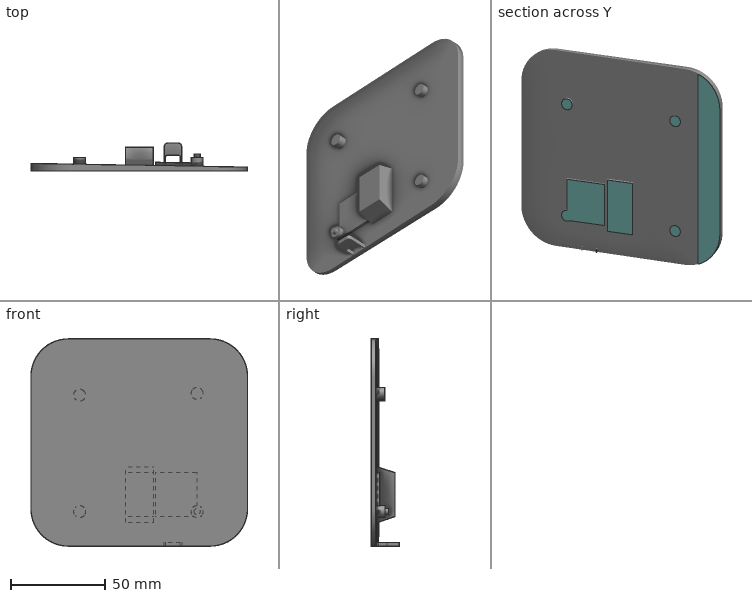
import cadquery as cq

PLATE_WIDTH = 115
PLATE_HEIGHT = 110.0
CORNER_RADIUS = 20.0
THICK_LEFT = 4.1
THICK_RIGHT = 2.2

BOSS_DIAMETER = 6.3
BOSS_TOP = 7.2
BOSS_LEFT_X = 25.9
BOSS_RIGHT_X = 88.2
BOSS_LOW_Z = 18.4
BOSS_LEFT_HIGH_Z = 80.2
BOSS_RIGHT_HIGH_Z = 81.1
BOSS_CENTERS = [
    (BOSS_LEFT_X, BOSS_LOW_Z),
    (BOSS_LEFT_X, BOSS_LEFT_HIGH_Z),
    (BOSS_RIGHT_X, BOSS_LOW_Z),
    (BOSS_RIGHT_X, BOSS_RIGHT_HIGH_Z),
]
PEG_DIAMETER = 3.3
PEG_TOP = 9.1

WEDGE_LEFT = 50.1
WEDGE_WIDTH = 14.8
WEDGE_TOP = 12.8
WEDGE_CREST_Z = (15.8, 39.1)
WEDGE_FOOT_Z = (12.5, 42.1)

PAD_X = (66.2, BOSS_RIGHT_X)
PAD_Z = WEDGE_CREST_Z
PAD_THICKNESS = 1.7

LATCH_X = (70.7, 80.0)
LATCH_DEPTH = 2.1
LATCH_TOP = 15
LATCH_CORNER_RADIUS = 2.0
LATCH_LEG = 0.8
WINDOW_TOP = 8.3
WINDOW_CORNER_RADIUS = 0.7


def back_y(x):
    """Y of the sloping back face of the plate at position x."""
    return THICK_LEFT + (THICK_RIGHT - THICK_LEFT) * x / PLATE_WIDTH


def extrude_up(points, z_bottom, z_top):
    """Prism with an XY outline, running from z_bottom to z_top."""
    return cq.Workplane("XY", origin=(0, 0, z_bottom)).polyline(points).close().extrude(z_top - z_bottom)


def cylinder(x, z, diameter, top):
    """Round pin standing on the flat-face plane and reaching Y = top."""
    return cq.Workplane("XZ", origin=(x, 0, z)).circle(diameter / 2).extrude(-top)


def make_plate():
    """Tapered plate with rounded corners."""
    profile = [(0, 0), (PLATE_WIDTH, 0), (PLATE_WIDTH, THICK_RIGHT), (0, THICK_LEFT)]
    outline = (
        cq.Workplane("XZ", origin=(PLATE_WIDTH / 2, 0, PLATE_HEIGHT / 2))
        .rect(PLATE_WIDTH, PLATE_HEIGHT)
        .extrude(-THICK_LEFT)
        .edges("|Y")
        .fillet(CORNER_RADIUS)
    )
    return extrude_up(profile, 0, PLATE_HEIGHT).intersect(outline)


def make_wedge():
    """Block with sloping upper and lower ends, rooted inside the plate."""
    root_y = back_y(PLATE_WIDTH)
    foot_y = back_y(WEDGE_LEFT)
    points = [
        (root_y, WEDGE_FOOT_Z[0]),
        (foot_y, WEDGE_FOOT_Z[0]),
        (WEDGE_TOP, WEDGE_CREST_Z[0]),
        (WEDGE_TOP, WEDGE_CREST_Z[1]),
        (foot_y, WEDGE_FOOT_Z[1]),
        (root_y, WEDGE_FOOT_Z[1]),
    ]
    return cq.Workplane("YZ", origin=(WEDGE_LEFT, 0, 0)).polyline(points).close().extrude(WEDGE_WIDTH)


def make_pad():
    """Thin raised pad that follows the slope of the back face."""
    left, right = PAD_X
    points = [
        (left, 0),
        (right, 0),
        (right, back_y(right) + PAD_THICKNESS),
        (left, back_y(left) + PAD_THICKNESS),
    ]
    return extrude_up(points, *PAD_Z)


def arch(left, right, bottom, top, radius):
    """Rectangular block at the lower edge, with its two far corners rounded."""
    points = [(left, bottom), (right, bottom), (right, top), (left, top)]
    return extrude_up(points, 0, LATCH_DEPTH).faces(">Y").edges("|Z").fillet(radius)


def make_latch():
    """Loop standing off the lower edge, open between its legs."""
    left, right = LATCH_X
    loop = arch(left, right, 0, LATCH_TOP, LATCH_CORNER_RADIUS)
    window = arch(left + LATCH_LEG, right - LATCH_LEG, back_y(right), WINDOW_TOP, WINDOW_CORNER_RADIUS)
    return loop.cut(window)


result = make_plate().union(make_wedge()).union(make_pad())
for boss_x, boss_z in BOSS_CENTERS:
    result = result.union(cylinder(boss_x, boss_z, BOSS_DIAMETER, BOSS_TOP))
result = result.union(cylinder(BOSS_RIGHT_X, BOSS_LOW_Z, PEG_DIAMETER, PEG_TOP))
result = result.union(make_latch())